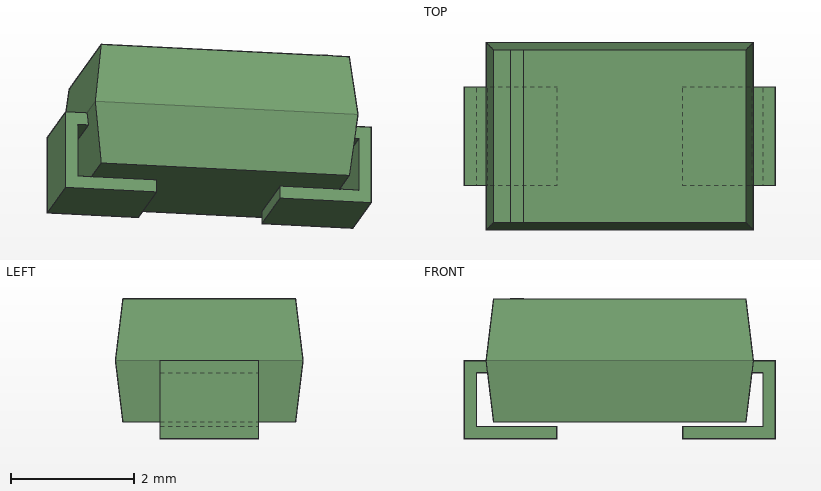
import cadquery as cq

body_length = 4.345
body_width = 3.05
half_height = 1.0
taper_inset = 0.12
parting_height = 1.275

overall_length = 5.05
lead_width = 1.605
lead_thickness = 0.2
foot_length = 1.505
lead_embed = 0.1

overall_height = 2.28
band_start = -1.775
band_length = 0.21

top_length = body_length - 2 * taper_inset
top_width = body_width - 2 * taper_inset
top_height = parting_height + half_height


def body_half(direction):
    """Tapered half running up (1) or down (-1) from the parting plane."""
    return (
        cq.Workplane("XY", origin=(0, 0, parting_height))
        .rect(body_length, body_width)
        .workplane(offset=direction * half_height)
        .rect(top_length, top_width)
        .loft(ruled=True)
    )


def lead(side):
    """C-shaped lead on the +X (1) or -X (-1) end."""
    outer = overall_length / 2
    inner = outer - lead_thickness
    arm_end = body_length / 2 - lead_embed
    foot_end = outer - foot_length
    arm_underside = parting_height - lead_thickness
    profile = [
        (arm_end, parting_height),
        (outer, parting_height),
        (outer, 0),
        (foot_end, 0),
        (foot_end, lead_thickness),
        (inner, lead_thickness),
        (inner, arm_underside),
        (arm_end, arm_underside),
    ]
    return (
        cq.Workplane("XZ")
        .polyline([(side * x, z) for x, z in profile])
        .close()
        .extrude(lead_width / 2, both=True)
    )


def polarity_band():
    return cq.Workplane("XY", origin=(band_start, 0, top_height)).box(
        band_length, top_width, overall_height - top_height, centered=(False, True, False)
    )


result = body_half(1).union(body_half(-1)).union(polarity_band())
for side in (-1, 1):
    result = result.union(lead(side))